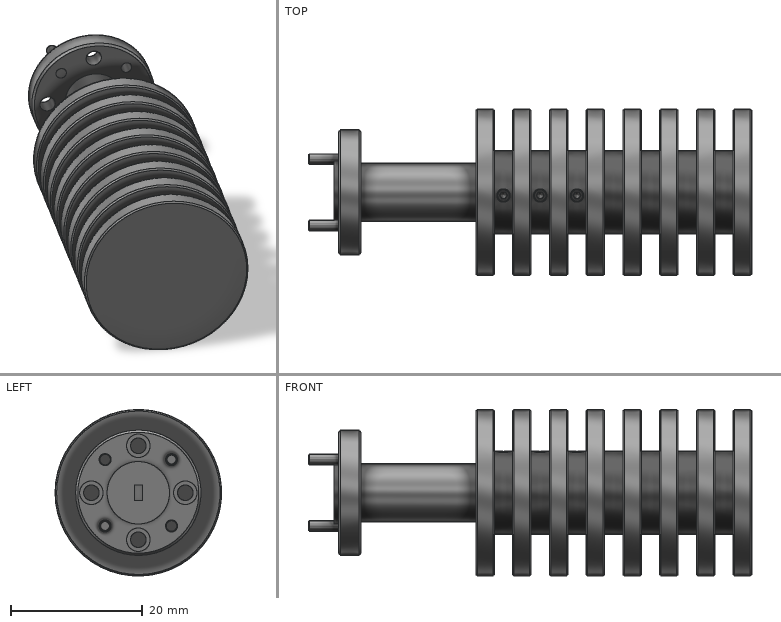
import cadquery as cq
import math


TOTAL_LENGTH = 67.4
OVERLAP = 0.35

FIN_DIAMETER = 25.3
FIN_WIDTH = 2.8
FIN_PITCH = 5.6
FIN_COUNT = 8
FIN_CHAMFER = 0.235
CORE_DIAMETER = FIN_DIAMETER / 2
SINK_LENGTH = (FIN_COUNT - 1) * FIN_PITCH + FIN_WIDTH
SINK_START = TOTAL_LENGTH - SINK_LENGTH

FLANGE_DIAMETER = 19.05
FLANGE_START = 4.5
FLANGE_THICKNESS = 3.45
FLANGE_END = FLANGE_START + FLANGE_THICKNESS
FLANGE_CHAMFER = 0.35
BOSS_DIAMETER = 9.5
BOSS_HEIGHT = 0.7
BOSS_START = FLANGE_START - BOSS_HEIGHT
HOLE_CIRCLE_RADIUS = 7.15
BOLT_HOLE_DIAMETER = 2.35
COUNTERBORE_DIAMETER = 3.6
COUNTERBORE_DEPTH = 0.5
BOLT_HOLE_ANGLES = (0, 90, 180, 270)

PIN_DIAMETER = 1.6
PIN_CHAMFER = 0.15
PIN_HOLE_CHAMFER = 0.1
PIN_ANGLES = (135, 315)
OPEN_HOLE_ANGLES = (45, 225)

TUBE_DIAMETER = 8.9
WAVEGUIDE_WIDTH = 1.2
WAVEGUIDE_HEIGHT = 2.4
WAVEGUIDE_DEPTH = 0.3

SCREW_COUNT = 3
SCREW_DIAMETER = 2.0
SCREW_TILT = 4.5
SCREW_RECESS = 0.15
SOCKET_ACROSS_FLATS = 1.0
SOCKET_DEPTH = 0.7
SOCKET_POINT_ANGLE = 118
SCREW_CHAMFER = 0.15
SCREW_TOP = CORE_DIAMETER / 2 - SCREW_RECESS
FIRST_SCREW_X = SINK_START + (FIN_WIDTH + FIN_PITCH) / 2

TUBE_END = SINK_START + SCREW_COUNT * FIN_PITCH + FIN_WIDTH


def cylinder_x(diameter, start, end, y=0, z=0):
    """Cylinder along X from start to end, centred on (y, z)."""
    plane = cq.Workplane("YZ", origin=(start, y, z))
    return plane.circle(diameter / 2).extrude(end - start)


def cone_x(start_diameter, end_diameter, start, length, y, z):
    """Tapered plug along X that begins at start, centred on (y, z)."""
    base = cq.Vector(start, y, z)
    cone = cq.Solid.makeCone(start_diameter / 2, end_diameter / 2, length, base, cq.Vector(1, 0, 0))
    return cq.Workplane(cone)


def flange_position(angle):
    """(y, z) of a hole on the flange hole circle, with the angle from +Y toward +Z."""
    turn = math.radians(angle)
    return HOLE_CIRCLE_RADIUS * math.cos(turn), HOLE_CIRCLE_RADIUS * math.sin(turn)


def place_screw_feature(shape, index):
    """Move a shape built along Z at x = 0 to set screw number index."""
    tilted = shape.rotate((0, 0, 0), (1, 0, 0), SCREW_TILT)
    return tilted.translate((FIRST_SCREW_X + index * FIN_PITCH, 0, 0))


def make_waveguide():
    """Flange, boss and tube in one piece, with a shallow rectangular waveguide opening in the boss."""
    flange = cylinder_x(FLANGE_DIAMETER, FLANGE_START, FLANGE_END)
    body = flange.edges().chamfer(FLANGE_CHAMFER)
    body = body.union(cylinder_x(BOSS_DIAMETER, BOSS_START, FLANGE_START))
    body = body.union(cylinder_x(TUBE_DIAMETER, FLANGE_END, TUBE_END))

    hole_end = FLANGE_END + OVERLAP
    counterbore_end = FLANGE_START + COUNTERBORE_DEPTH
    for angle in BOLT_HOLE_ANGLES:
        y, z = flange_position(angle)
        body = body.cut(cylinder_x(BOLT_HOLE_DIAMETER, FLANGE_START, hole_end, y, z))
        body = body.cut(cylinder_x(COUNTERBORE_DIAMETER, FLANGE_START, counterbore_end, y, z))
    mouth_diameter = PIN_DIAMETER + 2 * PIN_HOLE_CHAMFER
    for angle in PIN_ANGLES + OPEN_HOLE_ANGLES:
        y, z = flange_position(angle)
        body = body.cut(cylinder_x(PIN_DIAMETER, FLANGE_START, hole_end, y, z))
        body = body.cut(cone_x(mouth_diameter, PIN_DIAMETER, FLANGE_START, PIN_HOLE_CHAMFER, y, z))

    opening = cq.Workplane("YZ", origin=(BOSS_START, 0, 0))
    opening = opening.rect(WAVEGUIDE_WIDTH, WAVEGUIDE_HEIGHT).extrude(WAVEGUIDE_DEPTH)
    return body.cut(opening)


def make_heat_sink():
    """Core with evenly spaced fins, a blind bore for the tube and the screw holes."""
    body = cylinder_x(CORE_DIAMETER, SINK_START, TOTAL_LENGTH)
    for index in range(FIN_COUNT):
        start = SINK_START + index * FIN_PITCH
        fin = cylinder_x(FIN_DIAMETER, start, start + FIN_WIDTH)
        body = body.union(fin.edges().chamfer(FIN_CHAMFER))
    body = body.cut(cylinder_x(TUBE_DIAMETER, SINK_START, TUBE_END))

    screw_hole = cq.Workplane("XY").circle(SCREW_DIAMETER / 2).extrude(CORE_DIAMETER / 2 + OVERLAP)
    for index in range(SCREW_COUNT):
        body = body.cut(place_screw_feature(screw_hole, index))
    return body


def make_pin(angle):
    """Alignment pin that passes through the flange, with a chamfered free end."""
    y, z = flange_position(angle)
    pin = cylinder_x(PIN_DIAMETER, 0, FLANGE_END, y, z)
    return pin.faces("<X").chamfer(PIN_CHAMFER)


def make_set_screw(index):
    """Set screw with a drill-pointed hexagon socket, its lower end seated on the tube."""
    tube = cylinder_x(TUBE_DIAMETER, -SCREW_DIAMETER, SCREW_DIAMETER)
    screw = cq.Workplane("XY").circle(SCREW_DIAMETER / 2).extrude(SCREW_TOP)
    screw = screw.faces(">Z").chamfer(SCREW_CHAMFER).cut(tube)

    socket_corner_diameter = SOCKET_ACROSS_FLATS / math.cos(math.pi / 6)
    socket = cq.Workplane("XY", origin=(0, 0, SCREW_TOP - SOCKET_DEPTH))
    socket = socket.polygon(6, socket_corner_diameter).extrude(SOCKET_DEPTH)

    point_radius = SOCKET_ACROSS_FLATS / 2
    point_depth = point_radius / math.tan(math.radians(SOCKET_POINT_ANGLE / 2))
    point_base = cq.Vector(0, 0, SCREW_TOP - SOCKET_DEPTH)
    point = cq.Solid.makeCone(point_radius, 0, point_depth, point_base, cq.Vector(0, 0, -1))
    return place_screw_feature(screw.cut(socket).cut(cq.Workplane(point)), index)


waveguide = make_waveguide()
heat_sink = make_heat_sink()
pins = [make_pin(angle) for angle in PIN_ANGLES]
set_screws = [make_set_screw(index) for index in range(SCREW_COUNT)]

bodies = [waveguide, heat_sink, *pins, *set_screws]
result = cq.Compound.makeCompound([body.val() for body in bodies])